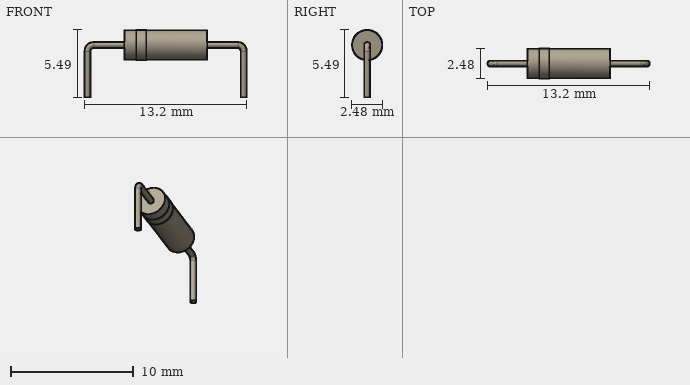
import cadquery as cq

overall_length = 13.21
lead_diameter = 0.5
lead_drop = 4.25
bend_radius = 0.49

body_diameter = 2.43
body_length = 6.74
band_diameter = 2.48
band_width = 0.82
band_offset = 0.96

lead_reach = (overall_length - lead_diameter) / 2
body_left = -body_length / 2


def cylinder_along_x(start, length, diameter):
    """Solid cylinder on the X axis, beginning at the given X."""
    return cq.Workplane("YZ", origin=(start, 0, 0)).circle(diameter / 2).extrude(length)


def bent_lead(side):
    """Wire from the body centre outward (side = -1 or 1), then bent down."""
    bend_start = side * (lead_reach - bend_radius)
    horizontal = cylinder_along_x(0, bend_start, lead_diameter)
    bend_path = (
        cq.Workplane("XZ")
        .moveTo(bend_start, 0)
        .radiusArc((side * lead_reach, -bend_radius), side * bend_radius)
    )
    bend = cq.Workplane("YZ", origin=(bend_start, 0, 0)).circle(lead_diameter / 2).sweep(bend_path)
    vertical = (
        cq.Workplane("XY", origin=(side * lead_reach, 0, -lead_drop))
        .circle(lead_diameter / 2)
        .extrude(lead_drop - bend_radius)
    )
    return horizontal.union(bend).union(vertical)


body = cylinder_along_x(body_left, body_length, body_diameter)
band = cylinder_along_x(body_left + band_offset, band_width, band_diameter)

result = body.union(band)
for side in (-1, 1):
    result = result.union(bent_lead(side))